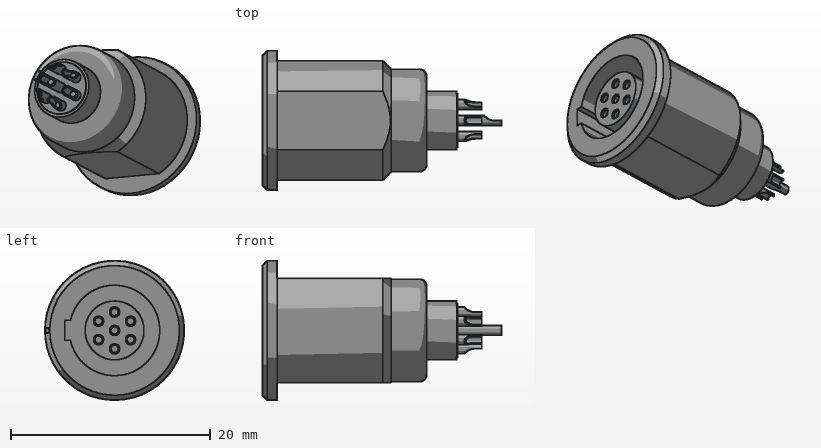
import cadquery as cq
import math

total_length = 24.0
flange_thickness = 1.5
barrel_end = 12.94
collar_end = 16.5
insulator_end = 19.5
lip_end = 19.58
contact_end = 22.0

flange_diameter = 14.0
flange_chamfer = 0.5
barrel_diameter = 12.0
barrel_flats_width = 10.5
collar_diameter = 10.3
collar_fillet = 0.75
insulator_diameter = 5.9
lip_diameter = 5.33
barrel_chamfer = (barrel_diameter - collar_diameter) / 2

socket_diameter = 9.07
socket_depth = 7.0
insert_recess = 0.5
keyway_width = 2.0
keyway_reach = 5.02

dot_radius = 0.26

ring_count = 6
ring_radius = 1.85
contact_diameter = 1.0
contact_embed = 0.95
pin_hole_diameter = 0.75
pin_hole_depth = 5.0
pin_hole_countersink = (contact_diameter - pin_hole_diameter) / 2
cup_bore_diameter = 0.7
cup_length = 1.78
cup_sweep_length = 1.08


def cylinder(start, end, diameter):
    """Cylinder on the X axis between two stations."""
    return cq.Workplane("YZ", origin=(start, 0, 0)).circle(diameter / 2).extrude(end - start)


def make_shell():
    flange = cylinder(0, flange_thickness, flange_diameter).faces("<X").chamfer(flange_chamfer)
    barrel = cylinder(0, barrel_end, barrel_diameter).faces(">X").chamfer(barrel_chamfer)
    flats = cq.Workplane("XY").box(2 * barrel_end, barrel_diameter, barrel_flats_width)
    collar = cylinder(0, collar_end, collar_diameter).faces(">X").edges().fillet(collar_fillet)
    return flange.union(barrel.intersect(flats)).union(collar)


def make_socket():
    """Cavity with its keyway on the +Y side."""
    cavity = cylinder(0, socket_depth, socket_diameter)
    keyway = cq.Workplane("XY").box(
        socket_depth, keyway_reach, keyway_width, centered=(False, False, True)
    )
    return cavity.union(keyway)


def make_dot():
    """Ball centred on the middle of the flange chamfer, on the +Y side."""
    dot_y = (flange_diameter - flange_chamfer) / 2
    return cq.Workplane("XY").sphere(dot_radius).translate((flange_chamfer / 2, dot_y, 0))


def make_insulator():
    body = cylinder(insert_recess, insulator_end, insulator_diameter)
    return body.union(cylinder(insulator_end, lip_end, lip_diameter))


def make_pin_hole():
    """Countersunk blind hole on the axis, opening at the insulator face."""
    hole = cylinder(insert_recess, insert_recess + pin_hole_depth, pin_hole_diameter)
    countersink = cq.Workplane("XY").polyline([
        (insert_recess, 0),
        (insert_recess, contact_diameter / 2),
        (insert_recess + pin_hole_countersink, pin_hole_diameter / 2),
        (insert_recess + pin_hole_countersink, 0),
    ]).close().revolve(360, (0, 0, 0), (1, 0, 0))
    return hole.union(countersink)


def make_contact(end):
    """Contact on the axis with a solder cup that opens toward +Y."""
    radius = contact_diameter / 2
    cup_start = end - cup_length
    sweep_end = cup_start + cup_sweep_length
    arc_radius = (cup_sweep_length**2 + radius**2) / (2 * radius)
    half_angle = math.asin(cup_sweep_length / arc_radius) / 2
    arc_middle = (
        sweep_end - arc_radius * math.sin(half_angle),
        arc_radius * (1 - math.cos(half_angle)),
    )
    opening = (
        cq.Workplane("XY")
        .moveTo(cup_start, radius)
        .threePointArc(arc_middle, (sweep_end, 0))
        .lineTo(end, 0)
        .lineTo(end, radius)
        .close()
        .extrude(radius, both=True)
    )
    body = cylinder(insulator_end - contact_embed, end, contact_diameter)
    bore = cylinder(cup_start, end, cup_bore_diameter)
    return body.cut(opening).cut(bore)


def on_ring(shape, index):
    """Move a shape from the axis to its place on the ring, with its +Y side facing outward."""
    angle = 90 + index * 360 / ring_count
    return shape.translate((0, ring_radius, 0)).rotate((0, 0, 0), (1, 0, 0), angle)


result = make_shell().cut(make_socket()).cut(make_dot()).union(make_insulator())

result = result.cut(make_pin_hole()).union(make_contact(total_length))
for index in range(ring_count):
    result = result.cut(on_ring(make_pin_hole(), index))
    result = result.union(on_ring(make_contact(contact_end), index))